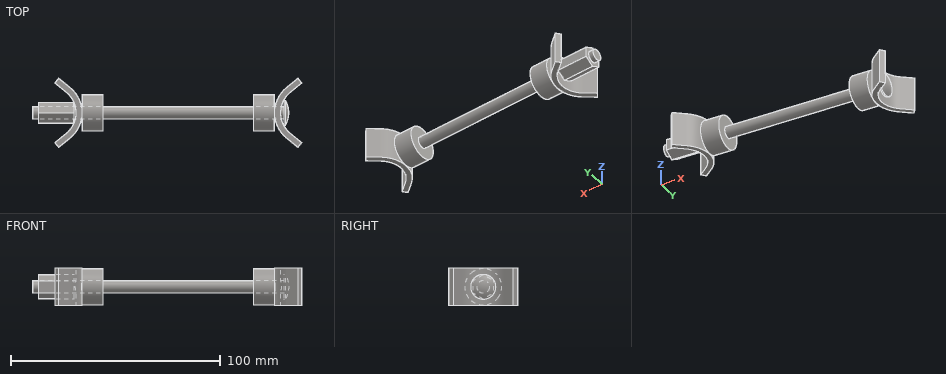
import cadquery as cq
import math

total_length = 128.5
saddle_width = 33.0
saddle_height = 18.0
saddle_thickness = 3.0
saddle_inner_radius = 12.6
wing_angle = math.radians(39)

left_apex_x = 23.6
rod_diameter = 6.0
head_diameter = 12.0
head_rim_thickness = 0.8
head_dome_height = 1.7
nut_length = 17.0
nut_across_flats = 10.0
collar_diameter = 17.5
collar_length = 10.0

saddle_outer_radius = saddle_inner_radius + saddle_thickness
outer_tip_y = saddle_width / 2
inner_tip_y = outer_tip_y - saddle_thickness * math.cos(wing_angle)


def saddle_arc_point(radius, angle):
    """Point on a saddle arc, at an angle from the apex direction."""
    return (radius * math.cos(angle) - saddle_outer_radius, radius * math.sin(angle))


def wing_tip(tangent_point, tip_y):
    """Follow the straight wing from its tangent point out to the given Y."""
    x, y = tangent_point
    return (x - (tip_y - y) / math.tan(wing_angle), tip_y)


def mirrored(point):
    return (point[0], -point[1])


tangent_angle = math.pi / 2 - wing_angle
outer_tangent = saddle_arc_point(saddle_outer_radius, tangent_angle)
inner_tangent = saddle_arc_point(saddle_inner_radius, tangent_angle)
outer_tip = wing_tip(outer_tangent, outer_tip_y)
inner_tip = wing_tip(inner_tangent, inner_tip_y)
right_apex_x = total_length + inner_tip[0]


def seat_offset(half_width):
    """Distance from the outer apex to a flat face resting inside the saddle."""
    return saddle_outer_radius - math.sqrt(saddle_inner_radius**2 - half_width**2)


nut_face_x = left_apex_x - seat_offset(nut_across_flats / 2)
nut_start_x = nut_face_x - nut_length
head_start_x = right_apex_x + seat_offset(head_diameter / 2)


def cylinder_along_x(start_x, diameter, length):
    return cq.Workplane("YZ", origin=(start_x, 0, 0)).circle(diameter / 2).extrude(length)


rod_bore = cylinder_along_x(0, rod_diameter, total_length)


def make_saddle(apex_x, opens_left):
    """Bent plate with a round middle, two straight wings and a bolt hole."""
    plate = (
        cq.Workplane("XY")
        .moveTo(*outer_tip)
        .lineTo(*outer_tangent)
        .threePointArc((0, 0), mirrored(outer_tangent))
        .lineTo(*mirrored(outer_tip))
        .lineTo(*mirrored(inner_tip))
        .lineTo(*mirrored(inner_tangent))
        .threePointArc((-saddle_thickness, 0), inner_tangent)
        .lineTo(*inner_tip)
        .close()
        .extrude(saddle_height / 2, both=True)
    )
    if not opens_left:
        plate = plate.mirror("YZ")
    return plate.translate((apex_x, 0, 0)).cut(rod_bore)


def make_collar(start_x):
    """Round spacer resting against the outer apex of a saddle."""
    return cylinder_along_x(start_x, collar_diameter, collar_length).cut(rod_bore)


def make_nut():
    """Long hexagonal nut with two corners pointing along Z."""
    across_corners = nut_across_flats / math.cos(math.pi / 6)
    hexagon = (
        cq.Workplane("YZ", origin=(nut_start_x, 0, 0))
        .transformed(rotate=(0, 0, 90))
        .polygon(6, across_corners)
        .extrude(nut_length)
    )
    return hexagon.cut(rod_bore)


def make_bolt():
    """Plain rod with a thin domed head, revolved about the X axis."""
    rod_radius = rod_diameter / 2
    head_radius = head_diameter / 2
    rim_end_x = head_start_x + head_rim_thickness
    dome_radius = (head_radius**2 + head_dome_height**2) / (2 * head_dome_height)
    dome_top_x = rim_end_x + head_dome_height
    dome_middle_y = head_radius / 2
    dome_middle_x = dome_top_x - dome_radius + math.sqrt(dome_radius**2 - dome_middle_y**2)
    return (
        cq.Workplane("XY")
        .lineTo(0, rod_radius)
        .lineTo(head_start_x, rod_radius)
        .lineTo(head_start_x, head_radius)
        .lineTo(rim_end_x, head_radius)
        .threePointArc((dome_middle_x, dome_middle_y), (dome_top_x, 0))
        .close()
        .revolve(360, (0, 0, 0), (1, 0, 0))
    )


bolt = make_bolt()
nut = make_nut()
saddles = [
    make_saddle(apex_x, opens_left)
    for apex_x, opens_left in ((left_apex_x, True), (right_apex_x, False))
]
collars = [make_collar(start_x) for start_x in (left_apex_x, right_apex_x - collar_length)]

result = cq.Compound.makeCompound(
    [bolt.val(), nut.val()] + [body.val() for body in saddles + collars]
)